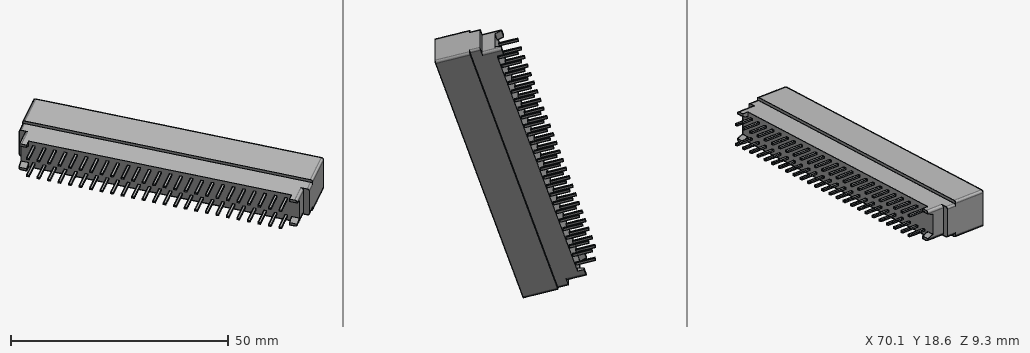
import cadquery as cq

length = 70.1
total_depth = 18.65
height = 9.3

back_depth = 8.35
flange_end = 10.9
floor_end = 14.0
front_height = 7.8
nose_length = 67.3
back_edge_radius = 0.55
flange_edge_radius = 0.5
nose_edge_radius = 0.6

foot_end = 15.55
foot_length = 1.9
foot_root_thickness = 1.3
foot_tip_thickness = 0.7

pins_per_row = 25
row_span = 61.0
pin_pitch = row_span / (pins_per_row - 1)
row_spacing = 5.1
pin_width = 0.6
pin_height = 0.4


def rounded_block(block_length, block_height, start, end, edge_radius):
    """Block between two depths, with its four edges along Y rounded."""
    block = cq.Workplane("XY").box(block_length, end - start, block_height)
    return block.edges("|Y").fillet(edge_radius).translate((0, -(start + end) / 2, 0))


def housing():
    """Back section, full-length front section, and shorter nose with feet."""
    back = rounded_block(length, height, 0, back_depth, back_edge_radius)
    flange = rounded_block(length, front_height, 0, flange_end, flange_edge_radius)
    nose = rounded_block(nose_length, front_height, 0, foot_end, nose_edge_radius)
    return back.union(flange).union(nose.cut(foot_clearance()))


def foot_clearance():
    """Space cleared in front of the floor, leaving only the four feet."""
    middle_length = nose_length - 2 * foot_length
    foot_height = foot_end - floor_end
    floor_gap = (
        cq.Workplane("XY")
        .box(middle_length, foot_height, height)
        .translate((0, -(floor_end + foot_end) / 2, 0))
    )
    root_z = front_height / 2 - foot_root_thickness
    tip_z = front_height / 2 - foot_tip_thickness
    end_gap = (
        cq.Workplane("YZ")
        .polyline([
            (-floor_end, -root_z),
            (-floor_end, root_z),
            (-foot_end, tip_z),
            (-foot_end, -tip_z),
        ])
        .close()
        .extrude(length / 2, both=True)
    )
    return floor_gap.union(end_gap)


def pins():
    """Both rows of pins, each rooted inside the housing."""
    pin_length = total_depth - flange_end
    return (
        cq.Workplane("XZ", origin=(0, -flange_end, 0))
        .rarray(pin_pitch, row_spacing, pins_per_row, 2)
        .rect(pin_width, pin_height)
        .extrude(pin_length)
    )


result = housing().union(pins()).translate((0, total_depth / 2, 0))